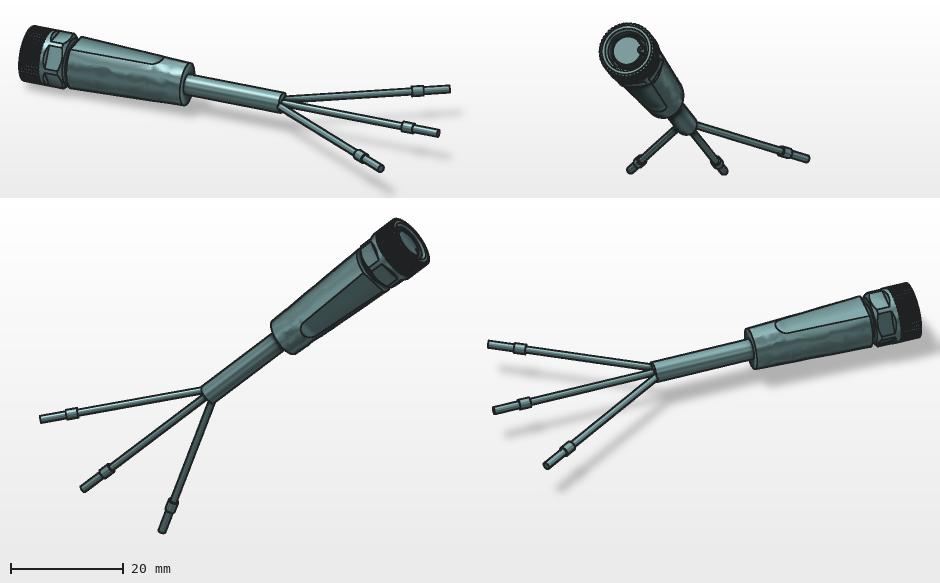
import cadquery as cq
import math

TOTAL_LENGTH = 78.5
WIRE_SPREAD = 33.2

NUT_DIAMETER = 10.0
NUT_LENGTH = 8.2
NUT_FRONT_CHAMFER_LENGTH = 0.15
NUT_FRONT_CHAMFER_HEIGHT = 0.5
NUT_REAR_CHAMFER_LENGTH = 0.6
NUT_REAR_CHAMFER_HEIGHT = 0.745
KNURL_LENGTH = 3.85
KNURL_COUNT = 44
KNURL_DEPTH = 0.2
KNURL_WIDTH = 0.5
HEX_START = 4.6
HEX_ACROSS_FLATS = 9.0
HEX_SIDES = 6
CUTTER_MARGIN = 0.8
SOCKET_DIAMETER = 6.9
SOCKET_DEPTH = 3.9
SOCKET_LEAD_IN = 0.5

PLUG_DIAMETER = 5.65
PLUG_RECESS = 0.5
PLUG_CHAMFER = 0.2
KEYWAY_DIAMETER = 1.2
KEYWAY_DEPTH = 1.6
KEYWAY_OFFSET = 2.5

NECK_DIAMETER = 6.0
GRIP_START = 9.0
GRIP_END = 30.4
GRIP_FRONT_WIDTH = 8.8
GRIP_FRONT_HEIGHT = 9.7
GRIP_REAR_WIDTH = 7.0
GRIP_REAR_HEIGHT = 7.85
LABEL_END = 23.95
LABEL_FRONT_HEIGHT = 3.9
LABEL_REAR_HEIGHT = 3.7
LABEL_RUNOUT_RADIUS = 3.5
LABEL_RUNOUT_ANGLE = 60.0

CABLE_DIAMETER = 3.7
CABLE_END = 48.6
WIRE_DIAMETER = 1.2
WIRE_LENGTH = TOTAL_LENGTH - CABLE_END
WIRE_ANGLE = 30.0
WIRE_INSET = 0.4
FERRULE_DIAMETER = 1.3
FERRULE_LENGTH = 4.7
SLEEVE_DIAMETER = 1.8
SLEEVE_LENGTH = 2.05


def rod(start, end, diameter):
    """Round bar on the X axis."""
    return cq.Workplane("YZ", origin=(start, 0, 0)).circle(diameter / 2).extrude(end - start)


def hex_flat_cutters():
    """Six blocks that leave flats behind a 45 degree shoulder."""
    nut_radius = NUT_DIAMETER / 2
    flat_height = HEX_ACROSS_FLATS / 2
    clearance = nut_radius + CUTTER_MARGIN
    shoulder = clearance - flat_height
    start = HEX_START + nut_radius - flat_height
    block = (
        cq.Workplane("XZ")
        .moveTo(start, flat_height)
        .lineTo(NUT_LENGTH, flat_height)
        .lineTo(NUT_LENGTH, clearance)
        .lineTo(start - shoulder, clearance)
        .close()
        .extrude(nut_radius, both=True)
    )
    step = 360 / HEX_SIDES
    return [block.rotate((0, 0, 0), (1, 0, 0), step * i) for i in range(HEX_SIDES)]


def knurl_grooves():
    """V grooves along the front part of the nut, with a land at the very top."""
    nut_radius = NUT_DIAMETER / 2
    groove = (
        cq.Workplane("YZ")
        .moveTo(0, nut_radius - KNURL_DEPTH)
        .lineTo(KNURL_WIDTH, nut_radius + KNURL_DEPTH)
        .lineTo(-KNURL_WIDTH, nut_radius + KNURL_DEPTH)
        .close()
        .extrude(KNURL_LENGTH)
    )
    step = 360 / KNURL_COUNT
    return [groove.rotate((0, 0, 0), (1, 0, 0), step * (i + 0.5)).val() for i in range(KNURL_COUNT)]


def coupling_nut():
    radius = NUT_DIAMETER / 2
    socket_radius = SOCKET_DIAMETER / 2
    nut = (
        cq.Workplane("XY")
        .moveTo(SOCKET_DEPTH, 0)
        .lineTo(SOCKET_DEPTH, socket_radius)
        .lineTo(SOCKET_LEAD_IN, socket_radius)
        .lineTo(0, socket_radius + SOCKET_LEAD_IN)
        .lineTo(0, radius - NUT_FRONT_CHAMFER_HEIGHT)
        .lineTo(NUT_FRONT_CHAMFER_LENGTH, radius)
        .lineTo(NUT_LENGTH - NUT_REAR_CHAMFER_LENGTH, radius)
        .lineTo(NUT_LENGTH, radius - NUT_REAR_CHAMFER_HEIGHT)
        .lineTo(NUT_LENGTH, 0)
        .close()
        .revolve(360, (0, 0, 0), (1, 0, 0))
    )
    for cutter in hex_flat_cutters():
        nut = nut.cut(cutter)
    return nut.cut(cq.Workplane(cq.Compound.makeCompound(knurl_grooves())))


def contact_plug():
    """Plug standing in the socket, with a round keyway on its -Y side."""
    plug = rod(PLUG_RECESS, SOCKET_DEPTH, PLUG_DIAMETER).faces("<X").chamfer(PLUG_CHAMFER)
    keyway = rod(PLUG_RECESS, PLUG_RECESS + KEYWAY_DEPTH, KEYWAY_DIAMETER)
    return plug.cut(keyway.translate((0, -KEYWAY_OFFSET, 0)))


def label_cutter():
    """Material above the sloping label flat and its curved runout at the rear."""
    slope = math.atan2(LABEL_FRONT_HEIGHT - LABEL_REAR_HEIGHT, LABEL_END - GRIP_START)
    runout_angle = math.radians(LABEL_RUNOUT_ANGLE)

    def runout_point(angle):
        return (
            LABEL_END + LABEL_RUNOUT_RADIUS * (math.sin(slope) + math.sin(angle - slope)),
            LABEL_REAR_HEIGHT + LABEL_RUNOUT_RADIUS * (math.cos(slope) - math.cos(angle - slope)),
        )

    runout_end = runout_point(runout_angle)
    return (
        cq.Workplane("XZ")
        .moveTo(GRIP_START, LABEL_FRONT_HEIGHT)
        .lineTo(LABEL_END, LABEL_REAR_HEIGHT)
        .threePointArc(runout_point(runout_angle / 2), runout_end)
        .lineTo(runout_end[0], GRIP_FRONT_HEIGHT)
        .lineTo(GRIP_START, GRIP_FRONT_HEIGHT)
        .close()
        .extrude(GRIP_FRONT_WIDTH, both=True)
    )


def grip():
    """Elliptical taper with a label flat on top and bottom."""
    body = (
        cq.Workplane("YZ", origin=(GRIP_START, 0, 0))
        .ellipse(GRIP_FRONT_WIDTH / 2, GRIP_FRONT_HEIGHT / 2)
        .workplane(offset=GRIP_END - GRIP_START)
        .ellipse(GRIP_REAR_WIDTH / 2, GRIP_REAR_HEIGHT / 2)
        .loft(ruled=True)
    )
    top_cutter = label_cutter()
    return body.cut(top_cutter).cut(top_cutter.mirror("XY"))


def wire():
    """Wire with its ferrule, starting at the origin and running along +X."""
    ferrule_start = WIRE_LENGTH - FERRULE_LENGTH
    sleeve_start = ferrule_start - SLEEVE_LENGTH
    core = rod(0, sleeve_start, WIRE_DIAMETER)
    sleeve = rod(sleeve_start, ferrule_start, SLEEVE_DIAMETER)
    ferrule = rod(ferrule_start, WIRE_LENGTH, FERRULE_DIAMETER)
    return core.union(sleeve).union(ferrule)


def side_wire(side):
    """Spread wire; side is +1 toward +Y and -1 toward -Y."""
    angle = math.radians(WIRE_ANGLE)
    tip_reach = WIRE_LENGTH * math.sin(angle) + FERRULE_DIAMETER / 2 * math.cos(angle)
    offset = WIRE_SPREAD / 2 - tip_reach
    spread = wire().rotate((0, 0, 0), (0, 0, 1), side * WIRE_ANGLE)
    return spread.translate((CABLE_END - WIRE_INSET, side * offset, 0))


result = (
    coupling_nut()
    .union(contact_plug())
    .union(rod(NUT_LENGTH, GRIP_START, NECK_DIAMETER))
    .union(grip())
    .union(rod(GRIP_END, CABLE_END, CABLE_DIAMETER))
    .union(wire().translate((CABLE_END, 0, 0)))
    .union(side_wire(1))
    .union(side_wire(-1))
)